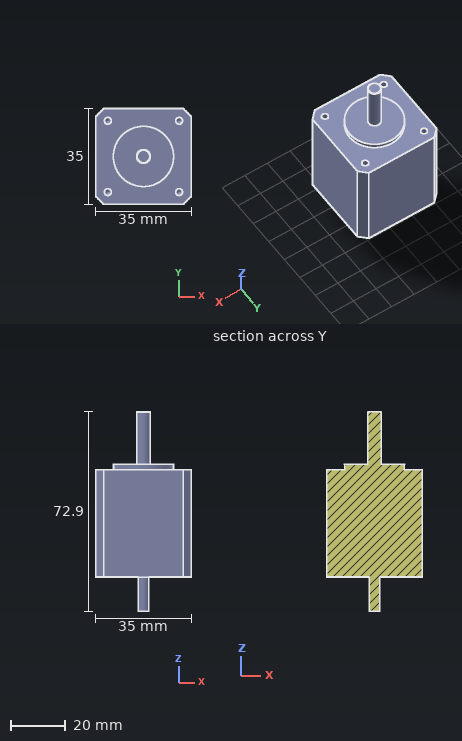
import cadquery as cq
import math

body_width = 35.0
body_height = 39.2
corner_bevel = 3.0

boss_diameter = 22.0
boss_height = 2.0

overall_height = 72.9
front_shaft_diameter = 5.0
rear_shaft_diameter = 4.0
rear_shaft_length = 12.5
front_shaft_length = overall_height - body_height - boss_height - rear_shaft_length
front_shaft_chamfer = 0.2

hole_diameter = 2.5
hole_spacing = 26.0
hole_depth = 4.0
drill_point_angle = 118.0


def make_body():
    """Square body hanging below the mounting face."""
    body = cq.Workplane("XY").rect(body_width, body_width).extrude(-body_height)
    return body.edges("|Z").chamfer(corner_bevel)


def make_boss():
    """Round pilot boss standing on the mounting face."""
    return cq.Workplane("XY").circle(boss_diameter / 2).extrude(boss_height)


def make_front_shaft():
    """Output shaft rising from the boss, with a chamfered tip."""
    shaft = cq.Workplane("XY").workplane(offset=boss_height)
    shaft = shaft.circle(front_shaft_diameter / 2).extrude(front_shaft_length)
    return shaft.faces(">Z").chamfer(front_shaft_chamfer)


def make_rear_shaft():
    """Plain shaft leaving the rear face of the body."""
    shaft = cq.Workplane("XY").workplane(offset=-body_height)
    return shaft.circle(rear_shaft_diameter / 2).extrude(-rear_shaft_length)


def make_mounting_holes():
    """Drill shapes to cut: a cylinder ending in a cone, at each corner."""
    radius = hole_diameter / 2
    point_depth = radius / math.tan(math.radians(drill_point_angle / 2))
    drill = (
        cq.Workplane("XZ")
        .lineTo(radius, 0)
        .lineTo(radius, -hole_depth)
        .lineTo(0, -hole_depth - point_depth)
        .close()
        .revolve(360, (0, 0, 0), (0, 1, 0))
    )
    corners = cq.Workplane("XY").rect(hole_spacing, hole_spacing, forConstruction=True).vertices()
    return corners.eachpoint(lambda corner: drill.val().moved(corner))


result = (
    make_body()
    .union(make_boss())
    .union(make_front_shaft())
    .union(make_rear_shaft())
    .cut(make_mounting_holes())
)